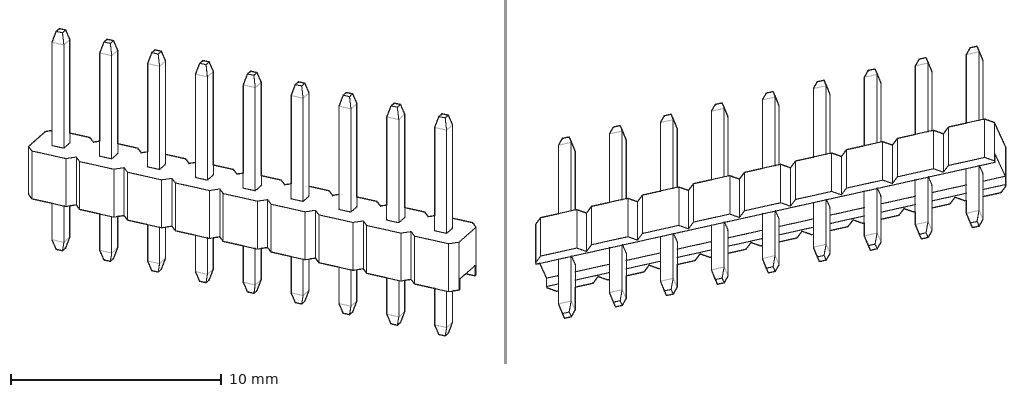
import cadquery as cq

pin_count = 9
row_length = 22.85
pitch = row_length / pin_count

housing_width = 2.54
housing_height = 2.54
corner_cut = 0.37
channel_width = 1.6
channel_depth = 0.55

pin_side = 0.65
tip_side = 0.35
tip_height = 0.55
pin_above = 6.01
pin_below = 3.0

pin_top = housing_height + pin_above
pin_bottom = -pin_below
pin_positions = [(i + 0.5) * pitch - row_length / 2 for i in range(pin_count)]


def make_cell(x):
    """One housing cell: a block with its four vertical edges cut at 45 degrees."""
    return (
        cq.Workplane("XY")
        .center(x, 0)
        .rect(pitch, housing_width)
        .extrude(housing_height)
        .edges("|Z")
        .chamfer(corner_cut)
    )


def make_tip(x, base_z, end_z):
    """Tapered pin end, from the full section at base_z to the small face at end_z."""
    return (
        cq.Workplane("XY", origin=(x, 0, base_z))
        .rect(pin_side, pin_side)
        .workplane(offset=end_z - base_z)
        .rect(tip_side, tip_side)
        .loft(combine=True)
    )


def make_pin(x):
    """Square pin with a tapered tip at both ends."""
    shank_bottom = pin_bottom + tip_height
    shank_top = pin_top - tip_height
    shank = (
        cq.Workplane("XY", origin=(x, 0, shank_bottom))
        .rect(pin_side, pin_side)
        .extrude(shank_top - shank_bottom)
    )
    upper_tip = make_tip(x, shank_top, pin_top)
    lower_tip = make_tip(x, shank_bottom, pin_bottom)
    return shank.union(upper_tip).union(lower_tip)


housing = make_cell(pin_positions[0])
for x in pin_positions[1:]:
    housing = housing.union(make_cell(x))
housing = housing.clean()

channel = cq.Workplane("XY").rect(row_length, channel_width).extrude(channel_depth)
result = housing.cut(channel)

for x in pin_positions:
    result = result.union(make_pin(x))